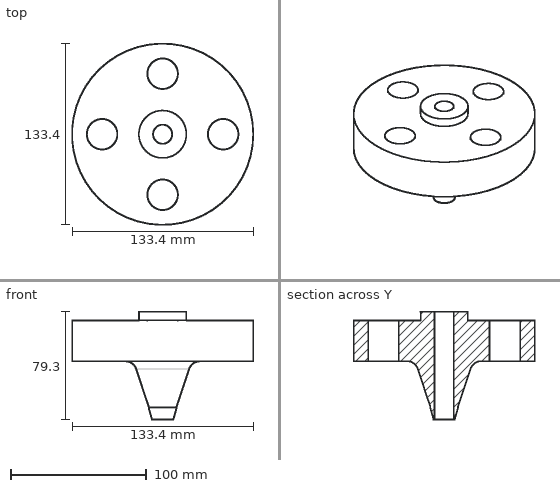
import cadquery as cq
import math

flange_diameter = 133.4
flange_thickness = 30.1

face_diameter = 35.0
face_height = 6.4
top_z = flange_thickness + face_height

hub_length = 42.8
tip_diameter = 15.7
tip_length = 8.4
land_diameter = 20.5
land_length = 1.0
hub_half_angle = math.radians(18.4)
root_radius = 7.9

bore_diameter = 13.9
bolt_hole_diameter = 22.3
bolt_circle_diameter = 89.0
bolt_count = 4

flange_r = flange_diameter / 2
face_r = face_diameter / 2
bore_r = bore_diameter / 2
tip_r = tip_diameter / 2
land_r = land_diameter / 2
land_bottom_z = tip_length - hub_length
land_top_z = land_bottom_z + land_length

root_end_z = -root_radius * (1 - math.sin(hub_half_angle))
root_end_r = land_r + (root_end_z - land_top_z) * math.tan(hub_half_angle)
root_center_r = root_end_r + root_radius * math.cos(hub_half_angle)
root_center_z = -root_radius
root_mid_angle = (math.pi / 2 + math.pi - hub_half_angle) / 2
root_mid = (
    root_center_r + root_radius * math.cos(root_mid_angle),
    root_center_z + root_radius * math.sin(root_mid_angle),
)

body = (
    cq.Workplane("XZ")
    .moveTo(bore_r, -hub_length)
    .lineTo(tip_r, -hub_length)
    .lineTo(land_r, land_bottom_z)
    .lineTo(land_r, land_top_z)
    .lineTo(root_end_r, root_end_z)
    .threePointArc(root_mid, (root_center_r, 0))
    .lineTo(flange_r, 0)
    .lineTo(flange_r, flange_thickness)
    .lineTo(face_r, flange_thickness)
    .lineTo(face_r, top_z)
    .lineTo(bore_r, top_z)
    .close()
    .revolve(360, (0, 0, 0), (0, 1, 0))
)

bolt_holes = (
    cq.Workplane("XY")
    .polarArray(bolt_circle_diameter / 2, 0, 360, bolt_count)
    .circle(bolt_hole_diameter / 2)
    .extrude(flange_thickness)
)

result = body.cut(bolt_holes)